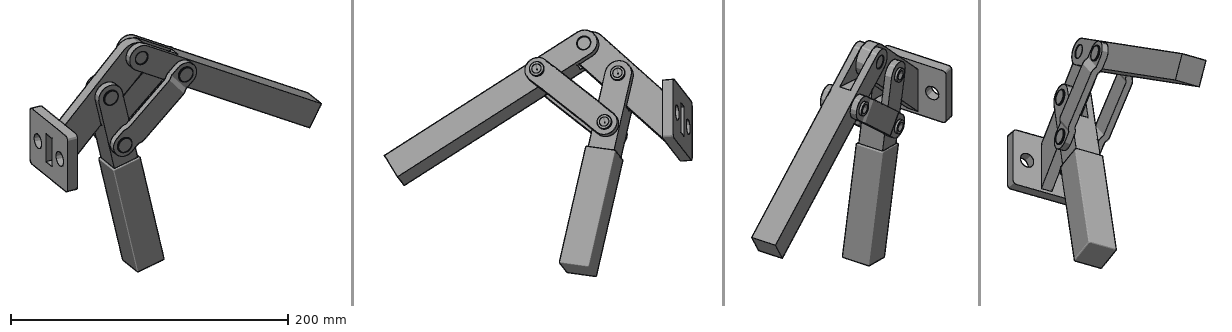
import cadquery as cq
import math

overall_length = 219.5

arm_angle = -29.7
bar_angle = -135.0
handle_angle = -77.2

stock_thickness = 20.0
stock_width = 19.7
half_thickness = stock_thickness / 2
half_width = stock_width / 2

arm_link_distance = 38.5
arm_slot_top_length = 32.3

bar_thickness = 8.8
bar_width = 25.9
bar_end_offset = 3.7
bar_handle_distance = 36.2

plate_width = 56.0
plate_height = 45.0
plate_thickness = 8.1
plate_front_y = -71.0
plate_center_z = -61.2
plate_corner_radius = 3.0
plate_hole_diameter = 11.0
plate_hole_spacing = 32.5
plate_pocket_height = 22.5
plate_pocket_depth = 5.0

handle_link_distance = 39.0
handle_slot_length = 22.4
grip_start = 57.3
grip_length = 90.0
grip_size = 23.0
grip_edge_radius = 1.0

link_width = 18.2
link_thickness = 5.0
link_rise = 2.0
bend_start = 7.0
bend_angle = math.radians(30)
bend_inner_radius = 1.5

pin_radius = 5.3
pin_head_height = 2.0
pin_recess_radius = 3.5
pin_recess_depth = 2.2
pin_tail_radius = 6.0
pin_tail_height = 1.0
pin_tail_chamfer = 0.5
pivot_recess_rim_radius = 5.3
pivot_recess_floor_radius = 4.8
pivot_recess_depth = 0.5


def along(start, angle, distance):
    """Point in the YZ plane at a distance from start in the given direction."""
    direction = math.radians(angle)
    return (start[0] + distance * math.cos(direction), start[1] + distance * math.sin(direction))


def member_plane(point, angle):
    """Workplane at a YZ point with local x along a member and its normal along +X."""
    direction = math.radians(angle)
    x_dir = (0, math.cos(direction), math.sin(direction))
    return cq.Workplane(cq.Plane(origin=(0, *point), xDir=x_dir, normal=(1, 0, 0)))


def round_ended_strip(plane, length, width, thickness):
    """Strip centred on the plane: rounded about the origin, square at the far end."""
    radius = width / 2
    return (
        plane.moveTo(length, radius)
        .lineTo(0, radius)
        .threePointArc((-radius, 0), (0, -radius))
        .lineTo(length, -radius)
        .close()
        .extrude(thickness / 2, both=True)
    )


main_pivot = (0.0, 0.0)
arm_pin = along(main_pivot, arm_angle, arm_link_distance)
arm_tilt = math.radians(-arm_angle)
arm_tip_y = overall_length + plate_front_y
arm_reach = (arm_tip_y - half_width * math.sin(arm_tilt)) / math.cos(arm_tilt)
handle_pivot = along(main_pivot, bar_angle, bar_handle_distance)
handle_pin = along(handle_pivot, handle_angle, handle_link_distance)


def make_arm():
    plane = member_plane(main_pivot, arm_angle)
    body = round_ended_strip(plane, arm_reach, stock_width, stock_thickness)
    slot = (
        plane.moveTo(-stock_width, half_width)
        .lineTo(arm_slot_top_length, half_width)
        .lineTo(arm_slot_top_length - stock_width, -half_width)
        .lineTo(-stock_width, -half_width)
        .close()
        .extrude(bar_thickness / 2, both=True)
    )
    recess = cq.Workplane(
        cq.Solid.makeCone(
            pivot_recess_rim_radius,
            pivot_recess_floor_radius,
            pivot_recess_depth,
            pnt=(-half_thickness, *main_pivot),
            dir=(1, 0, 0),
        )
    )
    return body.cut(slot).cut(recess).cut(recess.mirror("YZ"))


def make_bar():
    end_center = along(main_pivot, bar_angle, bar_end_offset)
    plate_back_y = plate_front_y + plate_thickness
    reach = plate_back_y / math.cos(math.radians(bar_angle)) + bar_width
    strip = round_ended_strip(member_plane(end_center, bar_angle), reach, bar_width, bar_thickness)
    behind_plate = (
        cq.Workplane("XZ", origin=(0, plate_back_y, 0))
        .rect(2 * bar_thickness, 4 * reach)
        .extrude(-2 * reach)
    )
    return strip.intersect(behind_plate)


def make_plate():
    face = cq.Workplane(
        cq.Plane(origin=(0, plate_front_y, plate_center_z), xDir=(1, 0, 0), normal=(0, -1, 0))
    )
    hole_places = [(-plate_hole_spacing / 2, 0), (plate_hole_spacing / 2, 0)]
    plate = (
        face.rect(plate_width, plate_height)
        .extrude(-plate_thickness)
        .edges("|Y")
        .fillet(plate_corner_radius)
    )
    holes = face.pushPoints(hole_places).circle(plate_hole_diameter / 2).extrude(-plate_thickness)
    pocket = face.rect(bar_thickness, plate_pocket_height).extrude(-plate_pocket_depth)
    return plate.cut(holes).cut(pocket)


def make_handle():
    plane = member_plane(handle_pivot, handle_angle)
    shank = round_ended_strip(plane, grip_start + grip_edge_radius, stock_width, stock_thickness)
    slot = (
        plane.center((handle_slot_length - stock_width) / 2, 0)
        .rect(handle_slot_length + stock_width, stock_width)
        .extrude(bar_thickness / 2, both=True)
    )
    grip = (
        member_plane(along(handle_pivot, handle_angle, grip_start + grip_length / 2), handle_angle)
        .box(grip_length, grip_size, grip_size)
        .edges()
        .fillet(grip_edge_radius)
    )
    return shank.cut(slot).union(grip)


def make_link():
    """Side link on the +X side, joining the arm pin to the handle pin."""
    span = math.dist(arm_pin, handle_pin)
    angle = math.degrees(math.atan2(handle_pin[1] - arm_pin[1], handle_pin[0] - arm_pin[0]))
    bend_outer_radius = bend_inner_radius + link_thickness
    sine = math.sin(bend_angle)
    versine = 1 - math.cos(bend_angle)
    ramp = (link_rise - (bend_inner_radius + bend_outer_radius) * versine) / sine
    bend_end = bend_start + (bend_inner_radius + bend_outer_radius) * sine + ramp * math.cos(bend_angle)
    inner_low = half_thickness
    inner_high = inner_low + link_rise
    outer_low = inner_low + link_thickness
    outer_high = outer_low + link_rise

    middle = ((arm_pin[0] + handle_pin[0]) / 2, (arm_pin[1] + handle_pin[1]) / 2)
    direction = math.radians(angle)
    profile_plane = cq.Plane(
        origin=(0, *middle),
        xDir=(0, math.cos(direction), math.sin(direction)),
        normal=(0, math.sin(direction), -math.cos(direction)),
    )
    along_start = span / 2 - bend_start
    along_end = span / 2 - bend_end
    tip = span / 2 + link_width / 2

    def ramp_points(low, high, low_radius, high_radius):
        """Tangent points of the two bends on one face, from the end land inwards."""
        return [
            (along_start, low),
            (along_start - low_radius * sine, low + low_radius * versine),
            (along_end + high_radius * sine, high - high_radius * versine),
            (along_end, high),
        ]

    outer = ramp_points(outer_low, outer_high, bend_inner_radius, bend_outer_radius)
    inner = ramp_points(inner_low, inner_high, bend_outer_radius, bend_inner_radius)
    half_profile = (
        cq.Workplane(profile_plane)
        .moveTo(tip, outer_low)
        .lineTo(*outer[0])
        .radiusArc(outer[1], bend_inner_radius)
        .lineTo(*outer[2])
        .radiusArc(outer[3], -bend_outer_radius)
        .lineTo(0, outer_high)
        .lineTo(0, inner_high)
        .lineTo(*inner[3])
        .radiusArc(inner[2], bend_inner_radius)
        .lineTo(*inner[1])
        .radiusArc(inner[0], -bend_outer_radius)
        .lineTo(tip, inner_low)
        .close()
        .extrude(link_width / 2, both=True)
    )
    other_half = half_profile.rotate((0, *middle), (1, *middle), 180)
    outline = (
        member_plane(middle, angle)
        .slot2D(span + link_width, link_width)
        .extrude(outer_high)
    )
    return half_profile.union(other_half).intersect(outline)


def make_pin(point, seat):
    """Pin through both sides: recessed head towards -X, chamfered tail towards +X."""
    plane = member_plane(point, 0)
    head_face = -seat - pin_head_height
    shank = plane.workplane(offset=head_face).circle(pin_radius).extrude(seat - head_face)
    tail = (
        plane.workplane(offset=seat)
        .circle(pin_tail_radius)
        .extrude(pin_tail_height)
        .faces(">X")
        .chamfer(pin_tail_chamfer)
    )
    recess = cq.Workplane(
        cq.Solid.makeCone(
            pin_recess_radius, 0, pin_recess_depth, pnt=(head_face, *point), dir=(1, 0, 0)
        )
    )
    return shank.union(tail).cut(recess)


link = make_link()
link_seat = half_thickness + link_thickness

result = (
    make_arm()
    .union(make_bar())
    .union(make_plate())
    .union(make_handle())
    .union(link)
    .union(link.mirror("YZ"))
    .union(make_pin(arm_pin, link_seat))
    .union(make_pin(handle_pin, link_seat))
    .union(make_pin(handle_pivot, half_thickness))
)